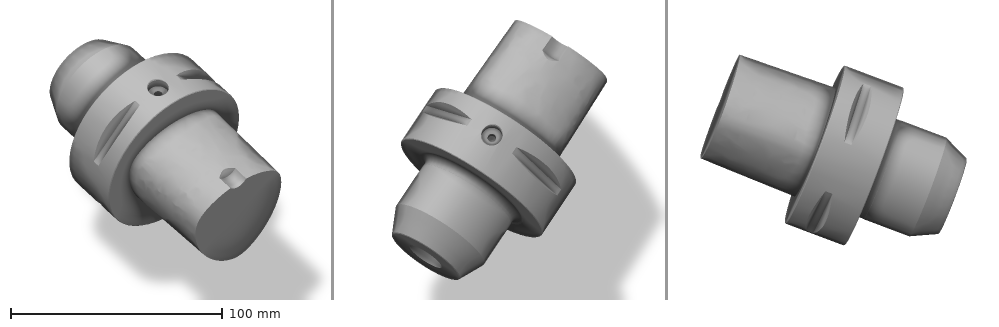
import cadquery as cq
import math

TOTAL_LENGTH = 118.0
FLANGE_START = 40.0
FLANGE_WIDTH = 30.0
FLANGE_END = FLANGE_START + FLANGE_WIDTH
FLANGE_RADIUS = 80.0 / 2
FLANGE_CHAMFER = 0.4

NOSE_RADIUS = 50.0 / 2
NOSE_TIP_RADIUS = 19.2
NOSE_TIP_CHAMFER = 0.6
NOSE_CONE_LENGTH = 12.6
NECK_RADIUS = 49.8 / 2
NECK_START = 35.8
NECK_CHAMFER = NOSE_RADIUS - NECK_RADIUS
NECK_FILLET = 3.1
FACE_RECESS_DEPTH = 0.2
FACE_RECESS_RADIUS = 29.1
BORE_DIAMETER = 18.0
BORE_DEPTH = FLANGE_START

SHANK_RADIUS = 27.5
SHANK_LOBE = 2.0
SHANK_TAPER = 1 / 40
SHANK_LENGTH = TOTAL_LENGTH - FLANGE_END
SHANK_POINTS = 72

GROOVE_X = FLANGE_END - 12.0
GROOVE_FLOOR_RADIUS = 35.8
GROOVE_FLOOR_WIDTH = 3.5
GROOVE_FLANK_ANGLE = 30
GROOVE_ANGLES = (45, 135, 225, 315)
HOLE_X = GROOVE_X
HOLE_DIAMETER = 10.0
HOLE_CHAMFER = 0.5
HOLE_DEPTH = 5.0
PILOT_DIAMETER = 4.0
PILOT_DEPTH = 3.5
PILOT_POINT_ANGLE = 118

NOTCH_RADIUS = 5.9
NOTCH_AXIS_Z = 27.5
NOTCH_START = 109.7
NOTCH_POINT_LENGTH = 5.0


def make_turned_body():
    recess_x = FLANGE_START + FACE_RECESS_DEPTH
    arc_center = (recess_x - NECK_FILLET, NECK_RADIUS + NECK_FILLET)
    diagonal = NECK_FILLET * math.sqrt(0.5)
    return (
        cq.Workplane("XY")
        .moveTo(0, 0)
        .lineTo(0, NOSE_TIP_RADIUS - NOSE_TIP_CHAMFER)
        .lineTo(NOSE_TIP_CHAMFER / 2, NOSE_TIP_RADIUS)
        .lineTo(NOSE_CONE_LENGTH, NOSE_RADIUS)
        .lineTo(NECK_START, NOSE_RADIUS)
        .lineTo(NECK_START + NECK_CHAMFER, NECK_RADIUS)
        .lineTo(arc_center[0], NECK_RADIUS)
        .threePointArc(
            (arc_center[0] + diagonal, arc_center[1] - diagonal),
            (recess_x, arc_center[1]),
        )
        .lineTo(FLANGE_START, FACE_RECESS_RADIUS)
        .lineTo(FLANGE_START, FLANGE_RADIUS - FLANGE_CHAMFER)
        .lineTo(FLANGE_START + FLANGE_CHAMFER, FLANGE_RADIUS)
        .lineTo(FLANGE_END - FLANGE_CHAMFER, FLANGE_RADIUS)
        .lineTo(FLANGE_END, FLANGE_RADIUS - FLANGE_CHAMFER)
        .lineTo(FLANGE_END, 0)
        .close()
        .revolve(360, (0, 0, 0), (1, 0, 0))
    )


def lobe_outline(mean_radius):
    """Closed constant-width curve with one of its three lobes toward -Z."""
    points = []
    for i in range(SHANK_POINTS):
        angle = 2 * math.pi * i / SHANK_POINTS
        toward_lobe = (
            mean_radius * math.cos(angle)
            + 2 * SHANK_LOBE * math.cos(2 * angle)
            - SHANK_LOBE * math.cos(4 * angle)
        )
        sideways = (
            mean_radius * math.sin(angle)
            - 2 * SHANK_LOBE * math.sin(2 * angle)
            - SHANK_LOBE * math.sin(4 * angle)
        )
        points.append((sideways, -toward_lobe))
    return points


def make_shank():
    end_radius = SHANK_RADIUS - SHANK_LENGTH * SHANK_TAPER
    return (
        cq.Workplane("YZ", origin=(FLANGE_END, 0, 0))
        .spline(lobe_outline(SHANK_RADIUS), periodic=True)
        .close()
        .workplane(offset=SHANK_LENGTH)
        .spline(lobe_outline(end_radius), periodic=True)
        .close()
        .loft(ruled=True)
    )


def make_bore():
    return cq.Workplane("YZ").circle(BORE_DIAMETER / 2).extrude(BORE_DEPTH)


def make_groove():
    """Trapezoidal groove across the top of the flange."""
    depth = FLANGE_RADIUS - GROOVE_FLOOR_RADIUS
    half_floor = GROOVE_FLOOR_WIDTH / 2
    half_top = half_floor + depth * math.tan(math.radians(GROOVE_FLANK_ANGLE))
    return (
        cq.Workplane("XZ")
        .polyline([
            (GROOVE_X - half_floor, GROOVE_FLOOR_RADIUS),
            (GROOVE_X + half_floor, GROOVE_FLOOR_RADIUS),
            (GROOVE_X + half_top, FLANGE_RADIUS),
            (GROOVE_X - half_top, FLANGE_RADIUS),
        ])
        .close()
        .extrude(FLANGE_RADIUS, both=True)
    )


def make_flange_hole():
    """Stepped radial hole with a chamfered mouth and a pointed pilot."""
    radius = HOLE_DIAMETER / 2
    pilot_radius = PILOT_DIAMETER / 2
    floor_z = FLANGE_RADIUS - HOLE_DEPTH
    pilot_end_z = floor_z - PILOT_DEPTH
    point_length = pilot_radius / math.tan(math.radians(PILOT_POINT_ANGLE / 2))
    return (
        cq.Workplane("XZ", origin=(HOLE_X, 0, 0))
        .polyline([
            (0, FLANGE_RADIUS),
            (radius + HOLE_CHAMFER, FLANGE_RADIUS),
            (radius, FLANGE_RADIUS - HOLE_CHAMFER),
            (radius, floor_z),
            (pilot_radius, floor_z),
            (pilot_radius, pilot_end_z),
            (0, pilot_end_z - point_length),
        ])
        .close()
        .revolve(360, (0, 0, 0), (0, 1, 0))
    )


def make_notch():
    """Round-bottomed slot along X with a conical inner end."""
    return (
        cq.Workplane("XY", origin=(0, 0, NOTCH_AXIS_Z))
        .polyline([
            (NOTCH_START - NOTCH_POINT_LENGTH, 0),
            (NOTCH_START, NOTCH_RADIUS),
            (TOTAL_LENGTH, NOTCH_RADIUS),
            (TOTAL_LENGTH, 0),
        ])
        .close()
        .revolve(360, (0, 0, 0), (1, 0, 0))
    )


result = make_turned_body().union(make_shank())
result = result.cut(make_bore())
for groove_angle in GROOVE_ANGLES:
    result = result.cut(make_groove().rotate((0, 0, 0), (1, 0, 0), groove_angle))
result = result.cut(make_flange_hole())
result = result.cut(make_notch())